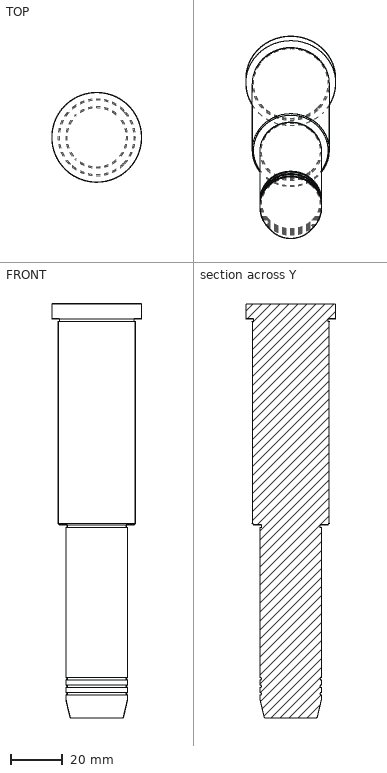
import cadquery as cq

length = 161.0
head_radius = 35.0 / 2
body_radius = 30.0 / 2
shank_radius = 24.0 / 2
head_height = 6.0
body_length = 80.0

head_edge_radius = 0.6
body_chamfer = 0.5
neck_width = 1.0
neck_depth = 0.5

groove_count = 3
groove_pitch = 2.9
groove_radius = 0.5
lowest_groove_height = 9.5
nose_height = 7.1
nose_tip_radius = 10.3
nose_edge_radius = 0.5

head_base = length - head_height
body_base = head_base - body_length


def cylinder(radius, base, top):
    return cq.Workplane("XY").workplane(offset=base).circle(radius).extrude(top - base)


def ring_cut(radius, base, width, depth):
    """Ring that removes a square groove from a cylinder of the given radius."""
    ring = cq.Workplane("XY").workplane(offset=base)
    return ring.circle(radius + depth).circle(radius - depth).extrude(width)


def round_groove(radius, height, section_radius):
    """Torus that leaves a half-round groove in a cylinder of the given radius."""
    section = cq.Workplane("XZ").center(radius, height).circle(section_radius)
    return section.revolve(360, (-radius, 0), (-radius, 1))


def make_nose():
    profile = (
        cq.Workplane("XZ")
        .polyline([(0, 0), (nose_tip_radius, 0), (shank_radius, nose_height), (0, nose_height)])
        .close()
    )
    nose = profile.revolve(360, (0, 0), (0, 1))
    return nose.faces("<Z").edges().fillet(nose_edge_radius)


head = cylinder(head_radius, head_base, length).faces(">Z").edges().fillet(head_edge_radius)
body = cylinder(body_radius, body_base, head_base).faces("<Z").edges().chamfer(body_chamfer)
shank = cylinder(shank_radius, nose_height, body_base)

body = body.cut(ring_cut(body_radius, head_base - neck_width, neck_width, neck_depth))
shank = shank.cut(ring_cut(shank_radius, body_base - neck_width, neck_width, neck_depth))

for index in range(groove_count):
    groove_height = lowest_groove_height + index * groove_pitch
    shank = shank.cut(round_groove(shank_radius, groove_height, groove_radius))

result = head.union(body).union(shank).union(make_nose())